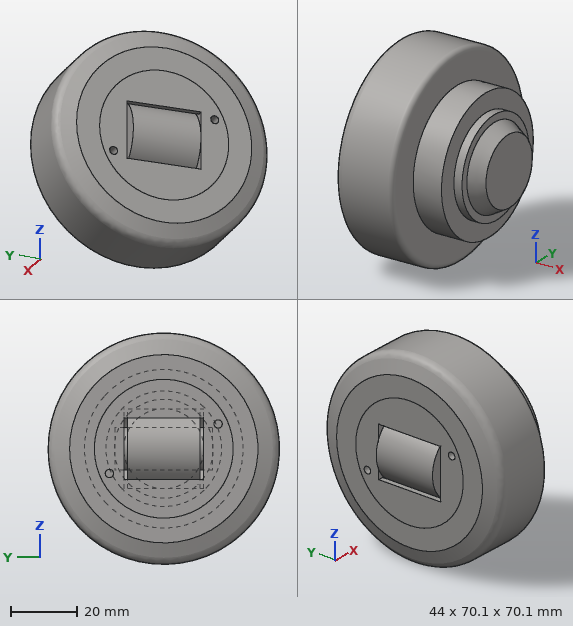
import cadquery as cq
import math

ring_front = 2.45
ring_back = 25.45
shoulder_end = 35.95
collar_end = 39.0
stud_end = 44.0

ring_radius = 35.05
ring_face_radius = 28.5
ring_bevel_angle = 20.0
front_round = 2.95
back_round = 1.8

core_radius = 21.0
shoulder_radius = 24.05
collar_radius = 17.5
nose_base_radius = 15.0
nose_tip_radius = 12.1

roller_radius = 12.05
roller_length = 22.0
axle_radius = 6.45
axle_length = 29.45
window_width = 24.1
window_height = 18.7
roller_center = roller_radius

face_hole_radius = 1.25
face_hole_depth = 4.2
face_hole_y = 16.5
face_hole_z = 7.5


def revolve_about_x(profile):
    """Turn a closed (x, radius) profile about the wheel axis."""
    return profile.close().revolve(360, (0, 0, 0), (1, 0, 0))


def cross_cylinder(radius, length):
    """Cylinder along Y, centred on the side roller's axis."""
    return (
        cq.Workplane("XZ", origin=(roller_center, length / 2, 0))
        .circle(radius)
        .extrude(length)
    )


def make_outer_ring():
    bevel_depth = (ring_radius - ring_face_radius) * math.tan(math.radians(ring_bevel_angle))
    bevel_end = ring_front + bevel_depth
    body = revolve_about_x(
        cq.Workplane("XY")
        .moveTo(ring_front, core_radius)
        .lineTo(ring_front, ring_face_radius)
        .lineTo(bevel_end, ring_radius)
        .lineTo(ring_back, ring_radius)
        .lineTo(ring_back, core_radius)
    )
    largest_edges = cq.selectors.RadiusNthSelector(-1)
    rims = body.edges("%CIRCLE").edges(largest_edges)
    rounded = rims.edges("<X").fillet(front_round)
    return rounded.edges("%CIRCLE").edges(largest_edges).edges(">X").fillet(back_round)


def make_stud():
    body = revolve_about_x(
        cq.Workplane("XY")
        .moveTo(ring_front, 0)
        .lineTo(ring_front, core_radius)
        .lineTo(ring_back, core_radius)
        .lineTo(ring_back, shoulder_radius)
        .lineTo(shoulder_end, shoulder_radius)
        .lineTo(shoulder_end, collar_radius)
        .lineTo(collar_end, collar_radius)
        .lineTo(collar_end, nose_base_radius)
        .lineTo(stud_end, nose_tip_radius)
        .lineTo(stud_end, 0)
    )
    window = (
        cq.Workplane("YZ", origin=(ring_front, 0, 0))
        .rect(window_width, window_height)
        .extrude(roller_center - ring_front)
    )
    face_holes = (
        cq.Workplane("YZ", origin=(ring_front, 0, 0))
        .pushPoints([(-face_hole_y, face_hole_z), (face_hole_y, -face_hole_z)])
        .circle(face_hole_radius)
        .extrude(face_hole_depth)
    )
    roller_recess = cross_cylinder(roller_radius, window_width)
    axle_bore = cross_cylinder(axle_radius, axle_length)
    return body.cut(window).cut(roller_recess).cut(axle_bore).cut(face_holes)


def make_side_roller():
    return cross_cylinder(roller_radius, roller_length).cut(cross_cylinder(axle_radius, roller_length))


def make_axle():
    return cross_cylinder(axle_radius, axle_length)


outer_ring = make_outer_ring()
stud = make_stud()
side_roller = make_side_roller()
axle = make_axle()

result = cq.Compound.makeCompound([outer_ring.val(), stud.val(), side_roller.val(), axle.val()])